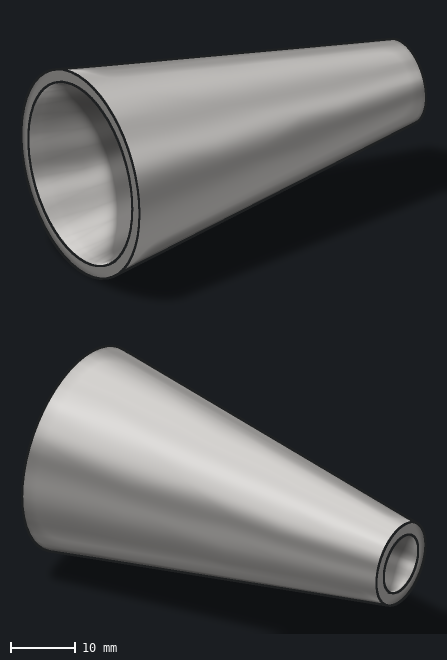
import cadquery as cq

length = 60.0
large_diameter = 33.7
small_diameter = 13.7
wall = 2.05

large_radius = large_diameter / 2
small_radius = small_diameter / 2

wall_section = (
    cq.Workplane("XY")
    .moveTo(large_radius - wall, -length / 2)
    .lineTo(large_radius, -length / 2)
    .lineTo(small_radius, length / 2)
    .lineTo(small_radius - wall, length / 2)
    .close()
)

result = wall_section.revolve(360, (0, 0, 0), (0, 1, 0))